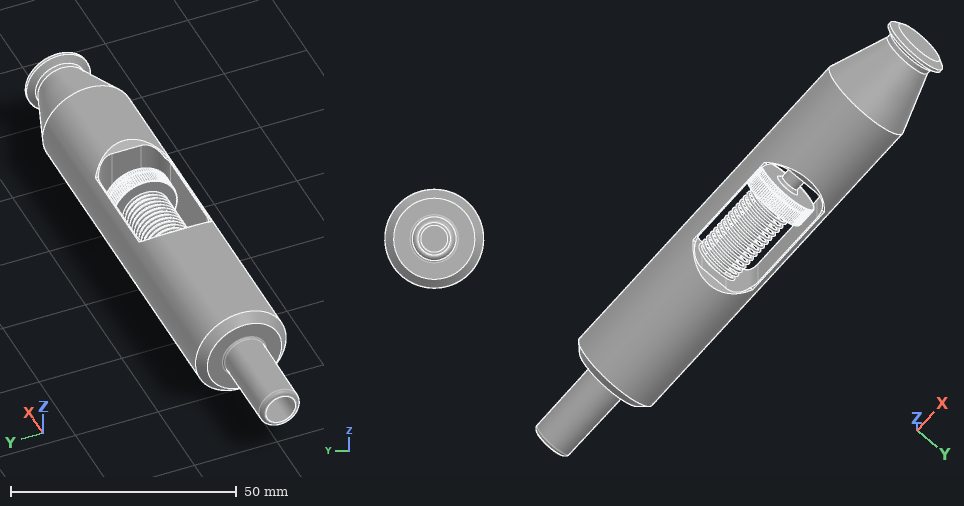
import cadquery as cq
import math

total_length = 124.0
shank_tip_diameter = 9.7
shank_root_diameter = 9.9
shank_length = 20.0
shank_tip_fillet = 1.0
shank_root_fillet = 0.4
bore_diameter = 7.2
bore_depth = shank_length

barrel_diameter = 22.0
barrel_chamfer = 2.0
cone_start = 106.1
cone_end = 120.0
neck_diameter = 12.0
rim_diameter = 15.5
rim_width = 2.7
rim_land = 0.7

window_start = 55.0
window_end = 85.0
window_width = 17.0
window_corner_radius = 5.0
flat_height = 6.6
flat_length = 24.0

rod_diameter = 6.0
rod_tail_diameter = 4.5
rod_chamfer = (rod_diameter - rod_tail_diameter) / 2
rod_tail_seat = 5.0

nut_diameter = 16.0
nut_root_diameter = 15.5
nut_chamfer = 0.2
nut_tooth_count = 90
nut_start = 74.8
nut_thickness = 3.5
lock_nut_thickness = 1.5
lock_nut_start = nut_start + nut_thickness
lock_nut_end = lock_nut_start + lock_nut_thickness

spring_outer_diameter = 11.0
wire_diameter = 0.6
spring_pitch = 1.2

barrel_radius = barrel_diameter / 2
neck_radius = neck_diameter / 2
rim_radius = rim_diameter / 2
window_centre = (window_start + window_end) / 2
rod_shoulder = lock_nut_end + rod_chamfer


def turned(outline):
    """Revolve a closed (x, radius) outline about the X axis."""
    return outline.close().revolve(360, (0, 0, 0), (1, 0, 0))


def make_housing_blank():
    """Solid shank, barrel, cone and rim."""
    tip_radius = shank_tip_diameter / 2
    root_radius = shank_root_diameter / 2
    rim_slope_length = (rim_width - rim_land) / 2
    rim_start = total_length - rim_width
    rim_crest_start = rim_start + rim_slope_length
    rim_crest_end = total_length - rim_slope_length
    arc_middle = 1 - math.sqrt(0.5)
    outline = (
        cq.Workplane("XZ")
        .moveTo(0, 0)
        .lineTo(0, tip_radius - shank_tip_fillet)
        .threePointArc(
            (shank_tip_fillet * arc_middle, tip_radius - shank_tip_fillet * arc_middle),
            (shank_tip_fillet, tip_radius),
        )
        .lineTo(shank_length - shank_root_fillet, root_radius)
        .threePointArc(
            (shank_length - shank_root_fillet * arc_middle, root_radius + shank_root_fillet * arc_middle),
            (shank_length, root_radius + shank_root_fillet),
        )
        .lineTo(shank_length, barrel_radius - barrel_chamfer)
        .lineTo(shank_length + barrel_chamfer, barrel_radius)
        .lineTo(cone_start, barrel_radius)
        .lineTo(cone_end, neck_radius)
        .lineTo(rim_start, neck_radius)
        .lineTo(rim_crest_start, rim_radius)
        .lineTo(rim_crest_end, rim_radius)
        .lineTo(total_length, neck_radius)
        .lineTo(total_length, 0)
    )
    return turned(outline)


def make_shank_bore():
    """Blind bore in the shank, with a flat floor."""
    outline = (
        cq.Workplane("XZ")
        .moveTo(0, 0)
        .lineTo(0, bore_diameter / 2)
        .lineTo(bore_depth, bore_diameter / 2)
        .lineTo(bore_depth, 0)
    )
    return turned(outline)


def make_window():
    """Round-cornered opening that passes through the barrel along Z."""
    return (
        cq.Workplane("XY")
        .center(window_centre, 0)
        .rect(window_end - window_start, window_width)
        .extrude(barrel_radius, both=True)
        .edges("|Z")
        .fillet(window_corner_radius)
    )


def make_flat_cut(side):
    """Cut for one flat with 45 degree run-outs; side is +1 (top) or -1 (bottom)."""
    half_floor = flat_length / 2
    half_mouth = half_floor + barrel_diameter - flat_height
    return (
        cq.Workplane("XZ")
        .moveTo(window_centre - half_floor, side * flat_height)
        .lineTo(window_centre + half_floor, side * flat_height)
        .lineTo(window_centre + half_mouth, side * barrel_diameter)
        .lineTo(window_centre - half_mouth, side * barrel_diameter)
        .close()
        .extrude(barrel_radius, both=True)
    )


def make_rod():
    """Rod from the bore floor across the window, stepping down to a thinner tail behind the nuts."""
    rod_radius = rod_diameter / 2
    tail_radius = rod_tail_diameter / 2
    rod_start = bore_depth
    rod_end = window_end + rod_tail_seat
    outline = (
        cq.Workplane("XZ")
        .moveTo(rod_start, 0)
        .lineTo(rod_start, rod_radius)
        .lineTo(lock_nut_end, rod_radius)
        .lineTo(rod_shoulder, tail_radius)
        .lineTo(rod_end, tail_radius)
        .lineTo(rod_end, 0)
    )
    return turned(outline)


def make_nut(start, thickness):
    """Straight-knurled round nut with both rims chamfered, bored to fit the rod."""
    tip_radius = nut_diameter / 2
    root_radius = nut_root_diameter / 2
    half_step = math.pi / nut_tooth_count
    outline = []
    for i in range(2 * nut_tooth_count):
        radius = tip_radius if i % 2 == 0 else root_radius
        outline.append((radius * math.cos(i * half_step), radius * math.sin(i * half_step)))
    toothed = cq.Workplane("YZ", origin=(start, 0, 0)).polyline(outline).close().extrude(thickness)
    envelope = (
        cq.Workplane("YZ", origin=(start, 0, 0))
        .circle(tip_radius)
        .extrude(thickness)
        .edges()
        .chamfer(nut_chamfer)
    )
    bore = cq.Workplane("YZ", origin=(start, 0, 0)).circle(rod_diameter / 2).extrude(thickness)
    return toothed.intersect(envelope).cut(bore)


def make_spring():
    """Round-wire compression spring between the window wall and the first nut."""
    coil_radius = (spring_outer_diameter - wire_diameter) / 2
    coil_start = window_start + wire_diameter / 2
    coil_length = nut_start - window_start - wire_diameter
    path = cq.Wire.makeHelix(
        spring_pitch,
        coil_length,
        coil_radius,
        center=cq.Vector(coil_start, 0, 0),
        dir=cq.Vector(1, 0, 0),
        lefthand=True,
    )
    start_point = path.startPoint()
    wire_section = cq.Workplane(cq.Plane(start_point, xDir=(1, 0, 0), normal=path.tangentAt(0)))
    return wire_section.circle(wire_diameter / 2).sweep(cq.Workplane(path), isFrenet=True)


rod = make_rod()
nut = make_nut(nut_start, nut_thickness)
lock_nut = make_nut(lock_nut_start, lock_nut_thickness)
spring = make_spring()

housing = make_housing_blank().cut(make_shank_bore()).cut(make_window())
for side in (1, -1):
    housing = housing.cut(make_flat_cut(side))
housing = housing.cut(rod)

result = cq.Compound.makeCompound([housing.val(), rod.val(), nut.val(), lock_nut.val(), spring.val()])